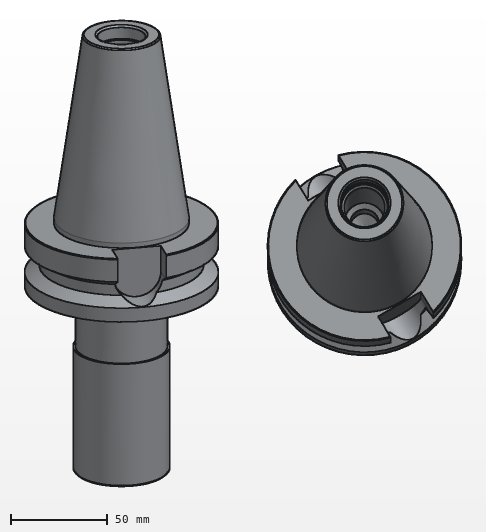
import cadquery as cq
import math

TOTAL_HEIGHT = 241.8
GAUGE_Z = 140.0
FLANGE_TOP_Z = 137.0
UPPER_RIM_BOTTOM_Z = 124.3
GROOVE_TOP_Z = 120.0
GROOVE_BOTTOM_Z = 114.0
LOWER_RIM_TOP_Z = 109.8
FLANGE_BOTTOM_Z = 102.0
SLEEVE_TOP_Z = 68.5

FLANGE_RADIUS = 100.0 / 2
GROOVE_RADIUS = 85.0 / 2
GAUGE_RADIUS = 70.0 / 2
TAPER_RATIO = 7 / 24
TAPER_TIP_RADIUS = GAUGE_RADIUS - (TOTAL_HEIGHT - GAUGE_Z) * TAPER_RATIO / 2
NECK_RADIUS = 47.6 / 2
NECK_FILLET = 2.0
TIP_CHAMFER = 0.7
RIM_CHAMFER = 0.5

MOUTH_RADIUS = 27.0 / 2
COUNTERBORE_RADIUS = 25.0 / 2
RELIEF_RADIUS = 23.7 / 2
THREAD_RADIUS = 21.0 / 2
PILOT_RADIUS = 15.0 / 2
COUNTERBORE_DEPTH = 7.3
RELIEF_DEPTH = 10.5
THREAD_DEPTH = 48.4
PILOT_DEPTH = 60.5
DRILL_TIP_ANGLE = 118.0

SLOT_WIDTH = 25.6
SLOT_FLOOR_Z = 110.0
SLOT_INNER_DISTANCE = 35.5
SLOT_ANGLES = (145.0, 325.0)

SLEEVE_RADIUS = 50.0 / 2
SLEEVE_CHAMFER = 1.0


def revolve_profile(outline):
    """Turn a closed (radius, z) outline around the Z axis."""
    return outline.close().revolve(360, (0, 0, 0), (0, 1, 0))


def make_holder_blank():
    outline = (
        cq.Workplane("XZ")
        .moveTo(0, SLEEVE_TOP_Z)
        .lineTo(NECK_RADIUS, SLEEVE_TOP_Z)
        .lineTo(NECK_RADIUS, FLANGE_BOTTOM_Z - NECK_FILLET)
        .radiusArc((NECK_RADIUS + NECK_FILLET, FLANGE_BOTTOM_Z), NECK_FILLET)
        .lineTo(FLANGE_RADIUS, FLANGE_BOTTOM_Z)
        .lineTo(FLANGE_RADIUS, LOWER_RIM_TOP_Z)
        .lineTo(GROOVE_RADIUS, GROOVE_BOTTOM_Z)
        .lineTo(GROOVE_RADIUS, GROOVE_TOP_Z)
        .lineTo(FLANGE_RADIUS, UPPER_RIM_BOTTOM_Z)
        .lineTo(FLANGE_RADIUS, FLANGE_TOP_Z - RIM_CHAMFER)
        .lineTo(FLANGE_RADIUS - RIM_CHAMFER, FLANGE_TOP_Z)
        .lineTo(GAUGE_RADIUS, FLANGE_TOP_Z)
        .lineTo(GAUGE_RADIUS, GAUGE_Z)
        .lineTo(TAPER_TIP_RADIUS + TIP_CHAMFER * TAPER_RATIO / 2, TOTAL_HEIGHT - TIP_CHAMFER)
        .lineTo(TAPER_TIP_RADIUS - TIP_CHAMFER, TOTAL_HEIGHT)
        .lineTo(0, TOTAL_HEIGHT)
    )
    return revolve_profile(outline)


def make_drawbar_bore():
    """Stepped bore with a 45-degree mouth, conical steps and a drill tip."""
    mouth_depth = MOUTH_RADIUS - COUNTERBORE_RADIUS
    relief_step_depth = COUNTERBORE_RADIUS - RELIEF_RADIUS
    thread_step_depth = RELIEF_RADIUS - THREAD_RADIUS
    drill_slope = 1 / math.tan(math.radians(DRILL_TIP_ANGLE / 2))
    pilot_step_depth = (THREAD_RADIUS - PILOT_RADIUS) * drill_slope
    tip_depth = PILOT_RADIUS * drill_slope
    outline = (
        cq.Workplane("XZ")
        .moveTo(0, TOTAL_HEIGHT)
        .lineTo(MOUTH_RADIUS, TOTAL_HEIGHT)
        .lineTo(COUNTERBORE_RADIUS, TOTAL_HEIGHT - mouth_depth)
        .lineTo(COUNTERBORE_RADIUS, TOTAL_HEIGHT - COUNTERBORE_DEPTH)
        .lineTo(RELIEF_RADIUS, TOTAL_HEIGHT - COUNTERBORE_DEPTH - relief_step_depth)
        .lineTo(RELIEF_RADIUS, TOTAL_HEIGHT - RELIEF_DEPTH)
        .lineTo(THREAD_RADIUS, TOTAL_HEIGHT - RELIEF_DEPTH - thread_step_depth)
        .lineTo(THREAD_RADIUS, TOTAL_HEIGHT - THREAD_DEPTH)
        .lineTo(PILOT_RADIUS, TOTAL_HEIGHT - THREAD_DEPTH - pilot_step_depth)
        .lineTo(PILOT_RADIUS, TOTAL_HEIGHT - PILOT_DEPTH)
        .lineTo(0, TOTAL_HEIGHT - PILOT_DEPTH - tip_depth)
    )
    return revolve_profile(outline)


def make_drive_slot(angle):
    """Round-floored slot that opens outward and upward through the flange."""
    half_width = SLOT_WIDTH / 2
    slot = (
        cq.Workplane("YZ", origin=(SLOT_INNER_DISTANCE, 0, 0))
        .moveTo(-half_width, FLANGE_TOP_Z)
        .lineTo(-half_width, SLOT_FLOOR_Z + half_width)
        .threePointArc((0, SLOT_FLOOR_Z), (half_width, SLOT_FLOOR_Z + half_width))
        .lineTo(half_width, FLANGE_TOP_Z)
        .close()
        .extrude(FLANGE_RADIUS - SLOT_INNER_DISTANCE)
    )
    return slot.rotate((0, 0, 0), (0, 0, 1), angle)


def make_holder():
    holder = make_holder_blank().cut(make_drawbar_bore())
    for angle in SLOT_ANGLES:
        holder = holder.cut(make_drive_slot(angle))
    return holder


def make_sleeve():
    """Plain cylinder under the neck, chamfered at its free end."""
    blank = cq.Workplane("XY").circle(SLEEVE_RADIUS).extrude(SLEEVE_TOP_Z)
    return blank.faces("<Z").chamfer(SLEEVE_CHAMFER)


holder = make_holder()
sleeve = make_sleeve()
result = cq.Compound.makeCompound([holder.val(), sleeve.val()])